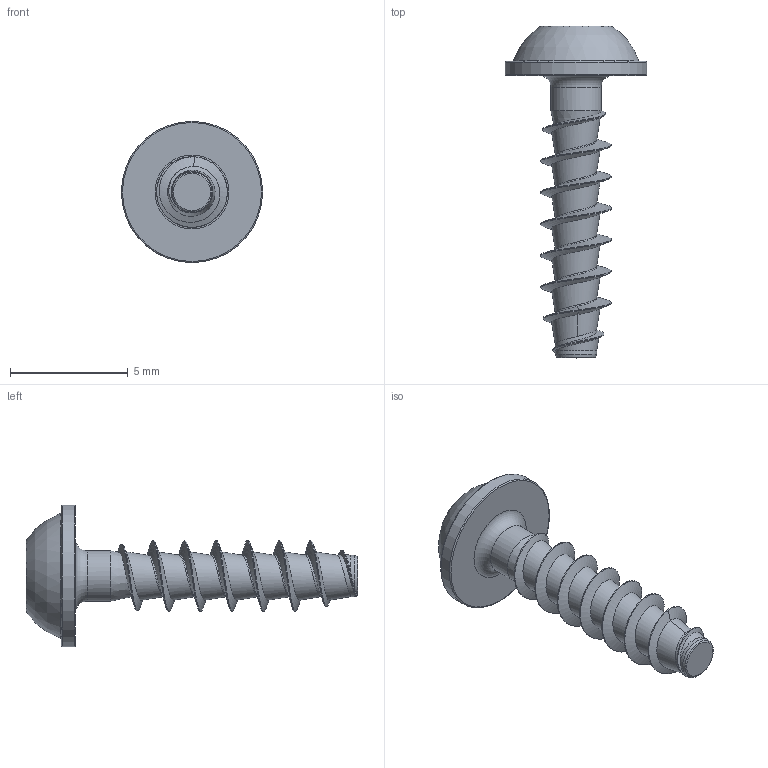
import cadquery as cq
import math


flange_radius = 3.0
flange_thickness = 0.6
flange_edge_round = 0.05
head_height = 2.1
dome_base_radius = 2.67
dome_top_radius = 1.51
dome_fillet = 0.05

shank_length = 12.0
neck_radius = 1.07
neck_end = -1.5
neck_fillet = 0.5
neck_taper_length = 0.9
core_radius = 0.88
tip_radius = 0.84
tip_taper_length = 0.15
tip_bevel_width = 0.05
tip_bevel_slope = 0.6
tip_y = -shank_length

pitch = 1.34
thread_radius = 1.5
crest_half_width = 0.02
head_flank_slope = 0.24
tip_flank_slope = 0.34
land_slope = 0.163
land_tip_radius = 0.83
land_radius = 1.06
buried_radius = core_radius - 0.02
inner_radius = 0.5
turn_gap = 0.01

crest_y_at_x = -1.62
start_angle = -65.0
start_crest_radius = 1.21
full_height_angle = 290.0
runout_y = -9.98
runout_radius = 0.88
thread_overrun = 0.02
core_overrun = pitch
points_per_turn = 24


def dome_radius_at(y):
    """Radius of the dome: a sphere centred on the axis through its two rims."""
    rise = head_height - flange_thickness
    middle_y = (head_height + flange_thickness) / 2
    centre_y = middle_y - (dome_base_radius**2 - dome_top_radius**2) / (2 * rise)
    sphere_radius = math.hypot(dome_top_radius, head_height - centre_y)
    return math.sqrt(sphere_radius**2 - (y - centre_y) ** 2)


def make_head():
    flange = cq.Workplane("XZ").circle(flange_radius).extrude(-flange_thickness)
    flange = flange.edges().fillet(flange_edge_round)
    middle_y = (head_height + flange_thickness) / 2
    dome = (
        cq.Workplane("XY")
        .lineTo(0, head_height)
        .lineTo(dome_top_radius, head_height)
        .threePointArc((dome_radius_at(middle_y), middle_y), (dome_base_radius, flange_thickness))
        .lineTo(dome_base_radius, flange_thickness / 2)
        .lineTo(0, flange_thickness / 2)
        .close()
        .revolve(360, (0, 0, 0), (0, 1, 0))
    )
    head = flange.union(dome)
    rim_size = dome_base_radius + flange_edge_round / 2
    around_dome_rim = cq.selectors.BoxSelector(
        (-rim_size, flange_thickness - flange_edge_round, -rim_size),
        (rim_size, flange_thickness + flange_edge_round, rim_size),
        boundingbox=True,
    )
    return head.edges(around_dome_rim).fillet(dome_fillet)


def make_shank():
    fillet_middle = neck_fillet * (1 - math.sqrt(0.5))
    return (
        cq.Workplane("XY")
        .moveTo(0, flange_thickness / 2)
        .lineTo(neck_radius + neck_fillet, flange_thickness / 2)
        .lineTo(neck_radius + neck_fillet, 0)
        .threePointArc((neck_radius + fillet_middle, -fillet_middle), (neck_radius, -neck_fillet))
        .lineTo(neck_radius, neck_end)
        .lineTo(core_radius, neck_end - neck_taper_length)
        .lineTo(core_radius, tip_y + tip_taper_length)
        .lineTo(tip_radius, tip_y)
        .lineTo(tip_radius, tip_y - core_overrun)
        .lineTo(0, tip_y - core_overrun)
        .close()
        .revolve(360, (0, 0, 0), (0, 1, 0))
    )


def crest_y_at(angle):
    return crest_y_at_x - pitch * angle / 360


def angle_at(crest_y):
    return (crest_y_at_x - crest_y) * 360 / pitch


def crest_radius_at(angle):
    """Crest radius: rises from the neck, stays full, then runs out at the tip."""
    rise = (angle - start_angle) / (full_height_angle - start_angle)
    rising = start_crest_radius + rise * (thread_radius - start_crest_radius)
    drop = (runout_y - crest_y_at(angle)) / (runout_y - tip_y)
    falling = thread_radius - drop * (thread_radius - runout_radius)
    return min(rising, thread_radius, falling)


def thread_section(angle):
    """Corners (radius, y) of the thread section at an angle, from the head side down."""
    crest_y = crest_y_at(angle)
    crest = crest_radius_at(angle)
    land = min(land_radius, land_tip_radius + land_slope * (crest_y - tip_y))
    head_root = crest_half_width + head_flank_slope * (crest - buried_radius)
    land_start = (crest_half_width + tip_flank_slope * (crest - land)) / (1 - tip_flank_slope * land_slope)
    full_head_root = crest_half_width + head_flank_slope * (thread_radius - buried_radius)
    land_end = pitch - full_head_root - turn_gap
    return [
        (inner_radius, crest_y + head_root),
        (buried_radius, crest_y + head_root),
        (crest, crest_y + crest_half_width),
        (crest, crest_y - crest_half_width),
        (land - land_slope * land_start, crest_y - land_start),
        (land - land_slope * land_end, crest_y - land_end),
        (inner_radius, crest_y - land_end),
    ]


def section_points(angle):
    turn = math.radians(angle)
    return [cq.Vector(r * math.cos(turn), y, r * math.sin(turn)) for r, y in thread_section(angle)]


def make_thread():
    """Ruled faces between the helical edges of the section, closed by two end caps."""
    breaks = [start_angle, full_height_angle, angle_at(runout_y), angle_at(tip_y - thread_overrun)]
    faces = []
    for first, last in zip(breaks, breaks[1:]):
        steps = math.ceil((last - first) / 360 * points_per_turn)
        sections = [section_points(first + (last - first) * i / steps) for i in range(steps + 1)]
        parameters = [i / steps for i in range(steps + 1)]
        edges = [cq.Edge.makeSpline(list(path), parameters=parameters) for path in zip(*sections)]
        for edge, next_edge in zip(edges, edges[1:] + edges[:1]):
            faces.append(cq.Face.makeRuledSurface(edge, next_edge))
    for angle in (breaks[0], breaks[-1]):
        faces.append(cq.Face.makeFromWires(cq.Wire.makePolygon(section_points(angle), close=True)))
    return cq.Workplane(cq.Solid.makeSolid(cq.Shell.makeShell(faces)))


def finish_tip(body):
    """Cut everything beyond the flat tip face and bevel its rim."""
    face_radius = tip_radius - tip_bevel_width
    reach = pitch
    depth = 2 * pitch
    beyond = (
        cq.Workplane("XY")
        .moveTo(0, tip_y)
        .lineTo(face_radius, tip_y)
        .lineTo(face_radius + reach, tip_y + tip_bevel_slope * reach)
        .lineTo(face_radius + reach, tip_y - depth)
        .lineTo(0, tip_y - depth)
        .close()
        .revolve(360, (0, 0, 0), (0, 1, 0))
    )
    return body.cut(beyond)


result = make_head().union(finish_tip(make_shank().union(make_thread())))